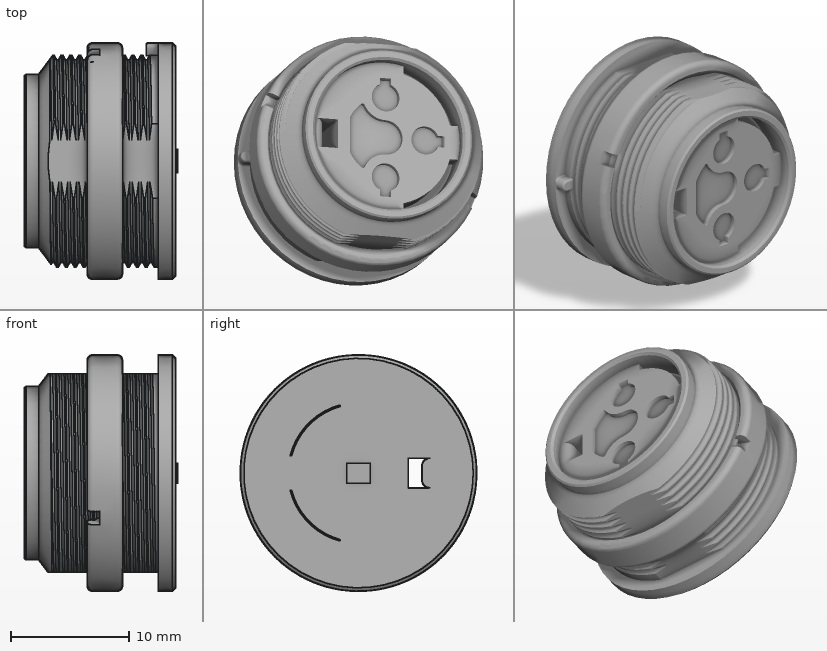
import cadquery as cq
import math


length = 12.8
nose_length = 1.22
flange_thickness = 1.5
nut_start = 5.3
nut_width = 3.0
flange_start = length - flange_thickness

outer_radius = 10.0
nose_radius = 7.35
nose_edge = 0.15
bore_radius = 6.55
bore_chamfer = 0.2
cone_end = 2.43
flange_chamfer = 0.3
flat_half_height = 8.4

thread_radius = 8.97
thread_root_radius = 8.59
thread_pitch = 0.75
groove_start = 2.05
groove_turns = 11.75
groove_root_width = 0.2
groove_mouth_width = 0.62
groove_overshoot = 0.1

nut_bore_radius = 8.55
nut_fillet = 0.5
nut_mouth_radius = 9.15
nut_slot_width = 1.2
nut_slot_depth = 1.05
nut_slot_angle = 22.5

tab_length = 1.0
tab_width = 1.0
tab_base = 8.9
tab_fillet = 0.17

face_depth = 1.1
contact_offset = 3.5
contact_radius = 1.22
contact_depth = 0.5
contact_key_width = 0.97
contact_key_reach = 5.18
contact_key_slope = 0.1

recess_depth = 0.5
recess_round_radius = 1.5
recess_sector_radius = 3.5
recess_flat = 3.16
recess_corner = 0.2

window_inner = 4.22
window_outer = 6.4
window_width = 2.5
tongue_tip = 5.36
tongue_nose_radius = 0.95
tongue_corner = 0.65

gap_inner_radius = 5.86
gap_slit_radius = 5.94
gap_cone_radius = 6.38
gap_depth = 1.6
gap_side = 1.58
web_half_width = 1.47

mark_width = 2.0
mark_height = 1.7
mark_thickness = 0.15


def turned(points):
    """Solid of revolution about X from (x, radius) points."""
    return cq.Workplane("XY").polyline(points).close().revolve(360, (0, 0, 0), (1, 0, 0))


def across(x):
    """Sketch plane normal to X at station x; local axes are the part's Y and Z."""
    return cq.Workplane("YZ", origin=(x, 0, 0))


def block(x_range, y_range, z_range):
    """Box spanning three (low, high) ranges."""
    spans = [high - low for low, high in (x_range, y_range, z_range)]
    corner = (x_range[0], y_range[0], z_range[0])
    return cq.Workplane("XY").box(*spans, centered=False).translate(corner)


def make_thread_groove():
    """Helical V groove, built about Z and then turned so that it runs along X from +Y."""
    tip = groove_root_width / 2
    top_radius = thread_radius + groove_overshoot
    slope = (groove_mouth_width / 2 - tip) / (thread_radius - thread_root_radius)
    mouth = tip + slope * (top_radius - thread_root_radius)
    helix = cq.Wire.makeHelix(thread_pitch, thread_pitch * groove_turns, thread_root_radius)
    profile = cq.Workplane("XZ").polyline([
        (thread_root_radius, -tip),
        (top_radius, -mouth),
        (top_radius, mouth),
        (thread_root_radius, tip),
    ]).close()
    groove = profile.sweep(cq.Workplane(helix), isFrenet=True)
    return groove.rotate((0, 0, 0), (1, 1, 1), 120).translate((groove_start, 0, 0))


def make_barrel():
    """Threaded barrel with its nose and cone, flattened at top and bottom."""
    barrel = turned([
        (0, 0),
        (0, nose_radius - nose_edge),
        (nose_edge, nose_radius),
        (nose_length, nose_radius),
        (cone_end, thread_radius),
        (flange_start, thread_radius),
        (flange_start, 0),
    ])
    barrel = barrel.cut(make_thread_groove())
    return barrel.intersect(block(
        (0, flange_start),
        (-outer_radius, outer_radius),
        (-flat_half_height, flat_half_height),
    ))


def make_flange():
    flange = across(flange_start).circle(outer_radius).extrude(flange_thickness)
    return flange.faces(">X").chamfer(flange_chamfer)


def make_nut():
    mouth = nut_mouth_radius - nut_bore_radius
    nut = across(nut_start).circle(outer_radius).extrude(nut_width).edges().fillet(nut_fillet)
    nut_end = nut_start + nut_width
    bore = turned([
        (nut_start, 0),
        (nut_start, nut_mouth_radius),
        (nut_start + mouth, nut_bore_radius),
        (nut_end - mouth, nut_bore_radius),
        (nut_end, nut_mouth_radius),
        (nut_end, 0),
    ])
    slot = block(
        (nut_start, nut_start + nut_slot_depth),
        (-outer_radius, outer_radius),
        (-nut_slot_width / 2, nut_slot_width / 2),
    ).rotate((0, 0, 0), (1, 0, 0), nut_slot_angle)
    return nut.cut(bore).cut(slot)


def make_tab():
    """Round-ended locating tab standing on the front of the flange at +Y."""
    half = tab_width / 2
    shoulder = outer_radius - half
    root = thread_root_radius
    tab_start = flange_start - tab_length
    tab = (
        across(tab_start)
        .moveTo(root, -half)
        .lineTo(shoulder, -half)
        .threePointArc((outer_radius, 0), (shoulder, half))
        .lineTo(root, half)
        .close()
        .extrude(tab_length)
    )
    tab = tab.faces("<X").edges().fillet(tab_fillet)
    plate = block(
        (flange_start, flange_start + flange_thickness / 2),
        (root, outer_radius + tab_width),
        (-tab_width, tab_width),
    )
    foot = cq.selectors.BoxSelector(
        (flange_start - tab_fillet / 2, root + tab_fillet, -half - tab_fillet),
        (flange_start + tab_fillet / 2, outer_radius + tab_fillet, half + tab_fillet),
    )
    tab = tab.union(plate).edges(foot).fillet(tab_fillet)
    outline = across(tab_start).circle(outer_radius).extrude(length - tab_start)
    above_base = block((tab_start, length), (tab_base, outer_radius), (-tab_width, tab_width))
    return tab.intersect(outline).intersect(above_base)


def make_bore():
    return turned([
        (0, 0),
        (0, bore_radius + bore_chamfer),
        (bore_chamfer, bore_radius),
        (face_depth, bore_radius),
        (face_depth, 0),
    ])


def make_contact_hole(angle):
    """Blind contact hole with a key slot pointing outward, its outer wall slightly sloped."""
    floor = face_depth + contact_depth
    hole = across(face_depth).center(contact_offset, 0).circle(contact_radius).extrude(contact_depth)
    key = (
        cq.Workplane("XY")
        .polyline([
            (face_depth, contact_offset),
            (face_depth, contact_key_reach),
            (floor, contact_key_reach - contact_key_slope),
            (floor, contact_offset),
        ])
        .close()
        .extrude(contact_key_width / 2, both=True)
    )
    return hole.union(key).rotate((0, 0, 0), (1, 0, 0), angle)


def make_recess():
    """Central recess: a round end that flares between the contact holes to a cut-off sector."""
    flare_radius = contact_offset - recess_round_radius
    flat_half = math.sqrt(recess_sector_radius**2 - recess_flat**2)
    corner_z = (recess_sector_radius**2 + contact_offset**2 - flare_radius**2) / (2 * contact_offset)
    corner_y = math.sqrt(recess_sector_radius**2 - corner_z**2)
    flat_angle = math.atan2(flat_half, recess_flat)
    corner_angle = math.atan2(corner_z, corner_y)
    sector_angle = (flat_angle + corner_angle) / 2
    sector_y = recess_sector_radius * math.cos(sector_angle)
    sector_z = recess_sector_radius * math.sin(sector_angle)
    flare_angle = math.atan2(corner_y, contact_offset - corner_z) / 2
    flare_y = flare_radius * math.sin(flare_angle)
    flare_z = contact_offset - flare_radius * math.cos(flare_angle)
    recess = (
        across(face_depth)
        .moveTo(recess_flat, -flat_half)
        .lineTo(recess_flat, flat_half)
        .threePointArc((sector_y, sector_z), (corner_y, corner_z))
        .threePointArc((flare_y, flare_z), (0, recess_round_radius))
        .threePointArc((-recess_round_radius, 0), (0, -recess_round_radius))
        .threePointArc((flare_y, -flare_z), (corner_y, -corner_z))
        .threePointArc((sector_y, -sector_z), (recess_flat, -flat_half))
        .close()
        .extrude(recess_depth)
    )
    return recess.edges("|X").edges(">Z or <Z").fillet(recess_corner)


def make_window():
    """Through window at +Y, less the tongue that curves in from its outer wall."""
    half = window_width / 2
    window = block((face_depth, length), (window_inner, window_outer), (-half, half))
    tongue = block((face_depth, length), (tongue_tip, window_outer), (-half, half))
    tongue = tongue.edges("|X and <Y").fillet(tongue_corner)
    nose = (
        cq.Workplane("XY")
        .moveTo(face_depth, tongue_tip)
        .lineTo(face_depth, tongue_tip + tongue_nose_radius)
        .radiusArc((face_depth + tongue_nose_radius, tongue_tip), -tongue_nose_radius)
        .close()
        .extrude(half, both=True)
    )
    return window.cut(tongue.cut(nose))


def make_web_gap():
    """Ring gap flush with the bore, narrowing by a ledge and a 45 degree cone to a through slit.

    It is kept to the -Y side and interrupted by the web.
    """
    cone_start = face_depth + gap_depth
    gap = turned([
        (face_depth, gap_inner_radius),
        (face_depth, bore_radius),
        (cone_start, bore_radius),
        (cone_start, gap_cone_radius),
        (cone_start + gap_cone_radius - gap_slit_radius, gap_slit_radius),
        (length, gap_slit_radius),
        (length, gap_inner_radius),
    ])
    x_range = (face_depth, length)
    sector = block(x_range, (-outer_radius, -gap_side), (-outer_radius, outer_radius))
    web = block(x_range, (-outer_radius, 0), (-web_half_width, web_half_width))
    return gap.intersect(sector.cut(web))


def make_mark():
    return across(length).rect(mark_width, mark_height).extrude(mark_thickness)


def make_cavities():
    cavities = make_bore().union(make_recess()).union(make_window()).union(make_web_gap())
    for angle in (90, 180, 270):
        cavities = cavities.union(make_contact_hole(angle))
    return cavities


attachments = make_flange().union(make_tab()).union(make_mark()).union(make_nut())
result = make_barrel().union(attachments).cut(make_cavities())